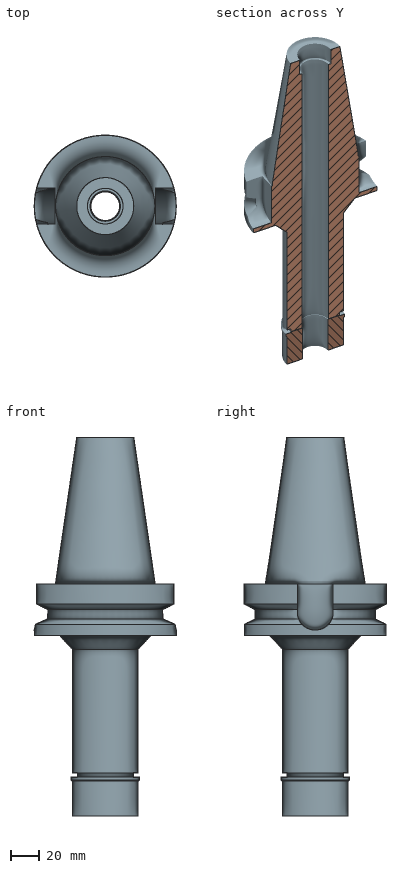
import cadquery as cq

total_height = 266.8
gauge_height = 165.0
flange_top = 163.5
flange_bottom = 127.0
groove_upper_edge = 149.5
groove_upper_root = 145.5
groove_lower_root = 138.7
groove_lower_edge = 135.0
shank_top = 117.5
shank_bottom = 30.5
nut_height = 27.5
collar_bottom = 25.3
collar_chamfer_bottom = 24.5

flange_radius = 50.02
groove_radius = 42.5
gauge_radius = 35.0
taper_ratio = 7 / 24
taper_top_radius = gauge_radius - (total_height - gauge_height) * taper_ratio / 2
cone_top_radius = 32.0
shank_radius = 23.0
neck_radius = 19.7
nut_radius = 23.2
collar_radius = 24.0

socket_radius = 12.5
socket_depth = 12.5
holder_bore_radius = 10.7
nut_bore_radius = 10.1

slot_width = 25.3
slot_floor_x = 35.5
slot_bottom = 131.0


def revolve_profile(points):
    """Revolve an outline of (radius, height) points around the Z axis."""
    return cq.Workplane("XZ").polyline(points).close().revolve(360, (0, 0), (0, 1))


def make_drive_slot(side):
    """Round-bottomed cutter, open at the flange top; side is +1 or -1 along X."""
    slot_depth = flange_radius - slot_floor_x
    slot_radius = slot_width / 2
    arc_height = slot_bottom + slot_radius
    return (
        cq.Workplane("YZ", origin=(side * slot_floor_x, 0, 0))
        .moveTo(-slot_radius, flange_top)
        .lineTo(-slot_radius, arc_height)
        .threePointArc((0, slot_bottom), (slot_radius, arc_height))
        .lineTo(slot_radius, flange_top)
        .close()
        .extrude(side * slot_depth)
    )


def make_holder():
    """Tapered holder with a grooved flange, straight shank and stepped bore."""
    socket_floor = total_height - socket_depth
    holder = revolve_profile([
        (holder_bore_radius, nut_height),
        (neck_radius, nut_height),
        (neck_radius, shank_bottom),
        (shank_radius, shank_bottom),
        (shank_radius, shank_top),
        (cone_top_radius, flange_bottom),
        (flange_radius, flange_bottom),
        (flange_radius, groove_lower_edge),
        (groove_radius, groove_lower_root),
        (groove_radius, groove_upper_root),
        (flange_radius, groove_upper_edge),
        (flange_radius, flange_top),
        (gauge_radius, flange_top),
        (gauge_radius, gauge_height),
        (taper_top_radius, total_height),
        (socket_radius, total_height),
        (socket_radius, socket_floor),
        (holder_bore_radius, socket_floor),
    ])
    for side in (-1, 1):
        holder = holder.cut(make_drive_slot(side))
    return holder


def make_nut():
    """Clamping nut with a through bore and a chamfered collar at its top."""
    return revolve_profile([
        (nut_bore_radius, 0),
        (nut_radius, 0),
        (nut_radius, collar_chamfer_bottom),
        (collar_radius, collar_bottom),
        (collar_radius, nut_height),
        (nut_bore_radius, nut_height),
    ])


holder = make_holder()
nut = make_nut()

result = cq.Compound.makeCompound([holder.val(), nut.val()])